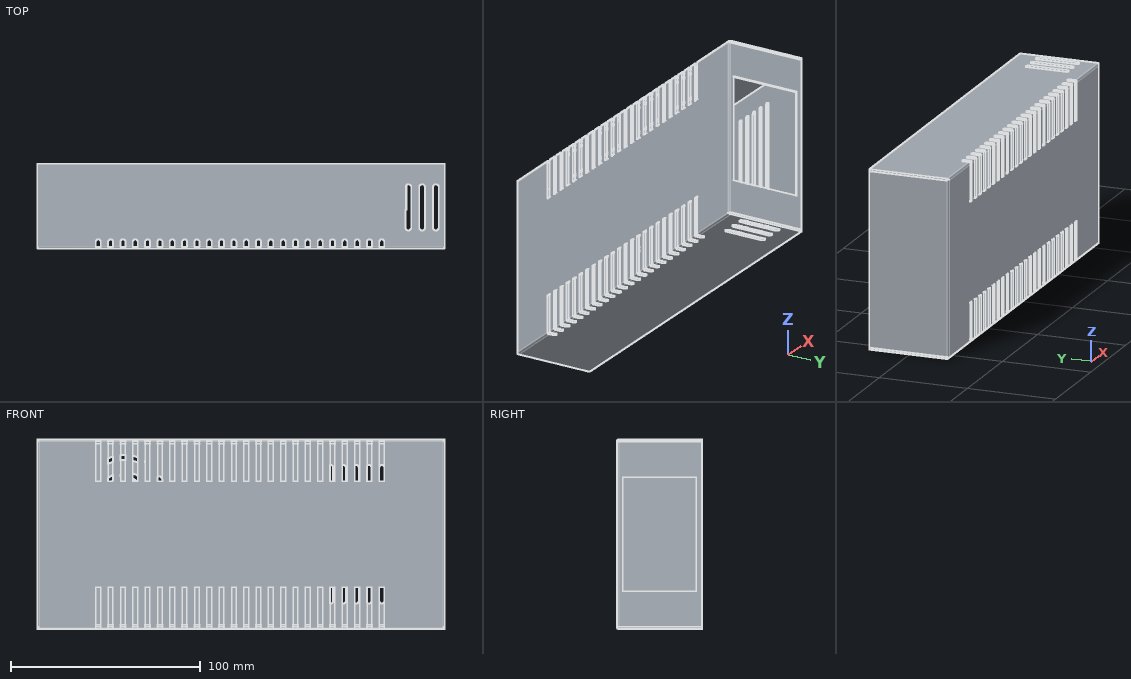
import cadquery as cq
import math

length = 215.0
depth = 45.0
height = 100.0
sheet = 1.1
bend_radius = 1.0
corner_gap = 0.1

vent_count = 24
vent_width = 2.5
vent_pitch = 6.5
vent_first_x = 32.25
vent_front_height = 22.0
vent_side_reach = 5.0

side_slot_count = 3
side_slot_width = 3.0
side_slot_pitch = 7.25
side_slot_first_x = 195.75
side_slot_near_y = 9.75
side_slot_far_y = 34.0

window_depth = 39.0
window_height = 60.0

flange_depth = 24.3
flange_end_setback = 20.0

back_slot_count = 5
back_slot_width = 2.5
back_slot_pitch = 6.75
back_slot_first_x = 154.75
back_slot_height = 73.0

grille_x = 46.1
grille_z = 70.0
grille_slot_width = 2.5
grille_outer_radius = 20.5
grille_inner_radius = 11.6
grille_arcs_per_ring = 4
grille_spoke_half_angle = 18.0


def block(x0, x1, y0, y1, z0, z1):
    return cq.Workplane("XY").box(x1 - x0, y1 - y0, z1 - z0, centered=False).translate((x0, y0, z0))


def front_vents():
    """Cutters that open the front wall squarely and end round in the top and bottom walls."""
    end_radius = vent_width / 2
    cutters = cq.Workplane("XY")
    for i in range(vent_count):
        x = vent_first_x + i * vent_pitch
        plan = (
            cq.Workplane("XY")
            .moveTo(x - end_radius, 0)
            .lineTo(x + end_radius, 0)
            .lineTo(x + end_radius, vent_side_reach - end_radius)
            .threePointArc((x, vent_side_reach), (x - end_radius, vent_side_reach - end_radius))
            .close()
            .extrude(vent_front_height)
        )
        cutters.add(plan)
        cutters.add(plan.translate((0, 0, height - vent_front_height)))
    return cutters


def side_slots():
    """Round-ended slots through the full height, opening the top and bottom walls alike."""
    slot_length = side_slot_far_y - side_slot_near_y
    centres = [(side_slot_first_x + i * side_slot_pitch, side_slot_near_y + slot_length / 2)
               for i in range(side_slot_count)]
    return (
        cq.Workplane("XY")
        .pushPoints(centres)
        .slot2D(slot_length, side_slot_width, angle=90)
        .extrude(height)
    )


def corner_slits():
    """Thin gaps where the folded end walls meet the top and bottom walls."""
    slits = cq.Workplane("XY")
    for x in (0, length - sheet):
        for z in (sheet, height - sheet - corner_gap):
            slits.add(block(x, x + sheet, bend_radius, depth, z, z + corner_gap))
    return slits


def end_window():
    y = (depth - window_depth) / 2
    z = (height - window_height) / 2
    return block(length - sheet, length, y, depth - y, z, height - z)


def make_cover():
    outside = block(0, length, 0, depth, 0, height).faces("<Y").edges().fillet(bend_radius)
    inside = block(sheet, length - sheet, sheet, depth, sheet, height - sheet)
    cover = outside.cut(inside)
    for vent in front_vents().vals():
        cover = cover.cut(cq.Workplane(vent))
    for slit in corner_slits().vals():
        cover = cover.cut(cq.Workplane(slit))
    return cover.cut(side_slots()).cut(end_window())


def back_slots():
    centres = [(back_slot_first_x + i * back_slot_pitch, height / 2) for i in range(back_slot_count)]
    return (
        cq.Workplane("XZ", origin=(0, depth, 0))
        .pushPoints(centres)
        .slot2D(back_slot_height, back_slot_width, angle=90)
        .extrude(sheet)
    )


def grille_point(radius, angle):
    return (
        grille_x + radius * math.cos(math.radians(angle)),
        grille_z + radius * math.sin(math.radians(angle)),
    )


def arc_slot(radius, start, end):
    """Round-ended slot along an arc about the grille centre, angles in degrees."""
    half_width = grille_slot_width / 2
    inner = radius - half_width
    outer = radius + half_width
    middle = (start + end) / 2
    cap_angle = math.degrees(half_width / radius)
    return (
        cq.Workplane("XZ", origin=(0, depth, 0))
        .moveTo(*grille_point(outer, start))
        .threePointArc(grille_point(outer, middle), grille_point(outer, end))
        .threePointArc(grille_point(radius, end + cap_angle), grille_point(inner, end))
        .threePointArc(grille_point(inner, middle), grille_point(inner, start))
        .threePointArc(grille_point(radius, start - cap_angle), grille_point(outer, start))
        .close()
        .extrude(sheet)
    )


def grille_slots():
    """Two rings of arc slots; the spokes of one ring face the slots of the other."""
    step = 360 / grille_arcs_per_ring
    cutters = cq.Workplane("XY")
    for radius, first_spoke in ((grille_outer_radius, step / 2), (grille_inner_radius, 0)):
        for i in range(grille_arcs_per_ring):
            spoke = first_spoke + i * step
            start = spoke + grille_spoke_half_angle
            end = spoke + step - grille_spoke_half_angle
            cutters.add(arc_slot(radius, start, end))
    return cutters


def make_tray():
    tray = block(sheet, length - sheet, depth - sheet, depth, sheet, height - sheet)
    for z in (sheet, height - 2 * sheet):
        flange = block(
            flange_end_setback, length - flange_end_setback,
            depth - flange_depth, depth,
            z, z + sheet,
        )
        tray = tray.union(flange)
    for slot in grille_slots().vals():
        tray = tray.cut(cq.Workplane(slot))
    return tray.cut(back_slots())


cover = make_cover()
tray = make_tray()

result = cq.Compound.makeCompound([cover.val(), tray.val()])